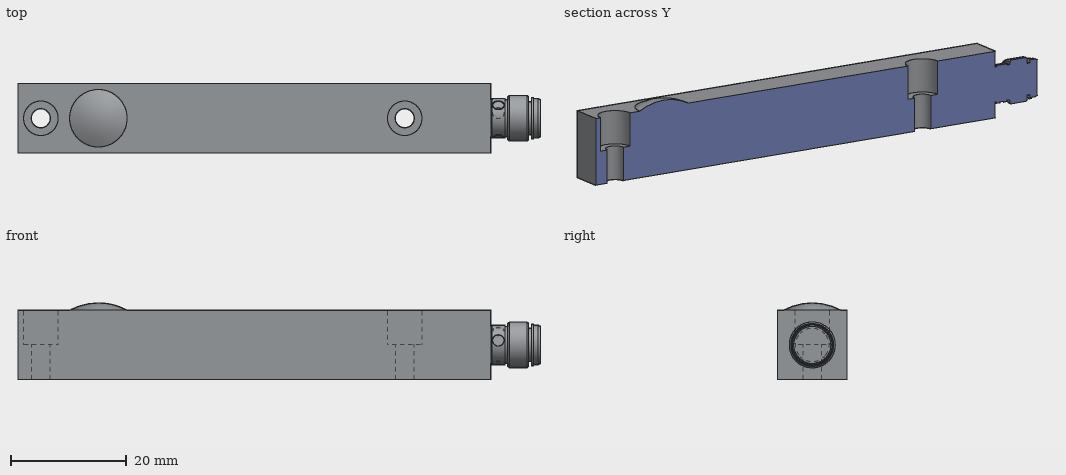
import cadquery as cq
import math

total_length = 90.5
total_height = 13.3
body_length = 81.9
body_side = 12.0

dome_diameter = 10.0
dome_x = 13.9

hole_diameter = 3.3
counterbore_diameter = 6.0
counterbore_depth = 6.0
first_hole_x = 4.0
hole_spacing = 63.0

collar_diameter = 6.9
neck_diameter = 6.4
ring_diameter = 8.0
groove_diameter = 5.8
lip_diameter = 7.2
nose_diameter = 6.9
tip_diameter = 6.4

connector_length = total_length - body_length
root_groove_width = 0.2
collar_end = 2.4
ring_start = 2.9
ring_end = 6.5
ring_chamfer = 0.3
lip_start = 7.0
lip_end = 7.3
nose_end = 8.1

dimple_diameter = 2.0
dimple_depth = 0.3
dimple_count = 3
dimple_x = 1.3
first_dimple_angle = 46.0


def make_body():
    return cq.Workplane("XY").box(body_length, body_side, body_side, centered=(False, True, False))


def make_dome():
    """Spherical cap standing on the top face."""
    dome_radius = dome_diameter / 2
    dome_height = total_height - body_side
    sphere_radius = (dome_radius**2 + dome_height**2) / (2 * dome_height)
    sphere = cq.Workplane("XY").sphere(sphere_radius)
    sphere = sphere.translate((dome_x, 0, total_height - sphere_radius))
    column = cq.Workplane("XY").center(dome_x, 0).circle(dome_radius).extrude(total_height)
    return column.intersect(sphere)


def cut_mounting_holes(body):
    hole_centers = [(first_hole_x, 0), (first_hole_x + hole_spacing, 0)]
    top_plane = cq.Workplane("XY", origin=(0, 0, body_side)).add(body)
    return top_plane.pushPoints(hole_centers).cboreHole(
        hole_diameter, counterbore_diameter, counterbore_depth
    )


def make_connector():
    """Revolved connector along +X, with its axis at the origin."""
    collar = collar_diameter / 2
    neck = neck_diameter / 2
    ring = ring_diameter / 2
    groove = groove_diameter / 2
    lip = lip_diameter / 2
    nose = nose_diameter / 2
    profile = [
        (0, 0),
        (0, neck),
        (root_groove_width, neck),
        (root_groove_width, collar),
        (collar_end, collar),
        (collar_end, neck),
        (ring_start, neck),
        (ring_start, ring - ring_chamfer),
        (ring_start + ring_chamfer, ring),
        (ring_end - ring_chamfer, ring),
        (ring_end, ring - ring_chamfer),
        (ring_end, groove),
        (lip_start, groove),
        (lip_start, lip),
        (lip_end, lip),
        (lip_end, nose),
        (nose_end, nose),
        (connector_length, tip_diameter / 2),
        (connector_length, 0),
    ]
    connector = cq.Workplane("XY").polyline(profile).close().revolve(360, (0, 0), (1, 0))

    for index in range(dimple_count):
        angle = math.radians(first_dimple_angle + index * 360 / dimple_count)
        outward = cq.Vector(0, math.cos(angle), math.sin(angle))
        floor_center = cq.Vector(dimple_x, 0, 0) + outward * (collar - dimple_depth)
        floor_plane = cq.Plane(origin=floor_center, xDir=(1, 0, 0), normal=outward)
        cutter = cq.Workplane(floor_plane).circle(dimple_diameter / 2).extrude(collar)
        connector = connector.cut(cutter)
    return connector


drilled_body = cut_mounting_holes(make_body().union(make_dome()))
connector = make_connector().translate((body_length, 0, body_side / 2))
result = drilled_body.union(connector)